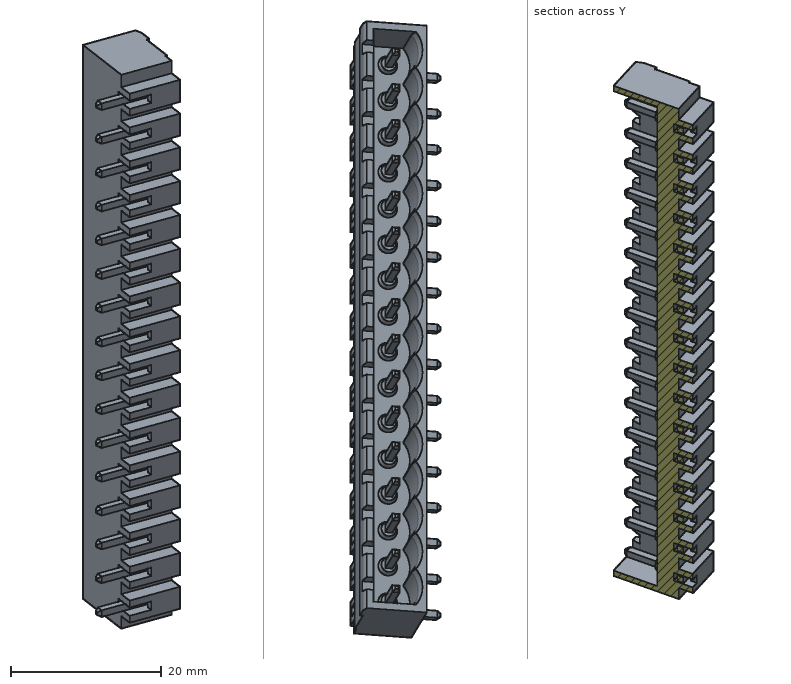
import cadquery as cq


height = 83.3

pin_count = 16
pitch = 5.1
pin_size = 1.0
first_pin_z = (height - (pin_count - 1) * pitch) / 2
pin_z = [first_pin_z + i * pitch for i in range(pin_count)]

body_depth = 10.0
total_depth = 12.2
total_width = 12.5
crest_y = 8.5
front_edge_y = 8.2
roof_y = 8.1
rear_y = 7.8
crest_start_x = 1.1
crest_end_x = 3.0
rear_step_x = 8.3

cavity_depth = 6.7
cavity_bottom = first_pin_z - pitch / 2
cavity_top = cavity_bottom + pin_count * pitch
pin_y = 3.9
cavity_wall_y = 6.9
scallop_y = 0.9
scallop_height = 0.9
mouth_depth = 1.3
mouth_wall_flare = 0.4
mouth_scallop_flare = 0.3

slot_mouth_width = 1.75
slot_floor_width = 1.4

collar_diameter = 2.6
collar_top_diameter = 2.0
collar_height = 0.7

foot_width = 3.3
foot_slot_width = 1.25
foot_slot_start_x = 9.25
foot_slot_end_x = 11.25
foot_notch_depth = 3.3

pin_front_x = 0.8
tail_x = (foot_slot_start_x + foot_slot_end_x) / 2
pin_tail_length = total_width - crest_y
point_length = 0.5
point_size = 0.4


def box(x0, x1, y0, y1, z0, z1):
    return cq.Workplane("XY").box(x1 - x0, y1 - y0, z1 - z0, centered=False).translate((x0, y0, z0))


def side_plane(x):
    """Plane across the part at depth x: local axes are Y and Z, normal is +X."""
    return cq.Workplane("YZ", origin=(x, 0, 0))


def housing():
    """Solid block with a stepped roof and a raised crest near the front."""
    outline = [
        (0, 0),
        (total_depth, 0),
        (total_depth, rear_y),
        (rear_step_x, rear_y),
        (rear_step_x, roof_y),
        (crest_end_x, roof_y),
        (crest_end_x, crest_y),
        (crest_start_x, crest_y),
        (0, front_edge_y),
    ]
    return cq.Workplane("XY").polyline(outline).close().extrude(height)


def rear_gaps():
    """Material between the rear feet."""
    gaps = box(body_depth, total_depth, 0, crest_y, 0, height)
    for z in pin_z:
        foot = box(body_depth, total_depth, 0, crest_y, z - foot_width / 2, z + foot_width / 2)
        gaps = gaps.cut(foot)
    return gaps


def cavity_outline(workplane, wall_y, trough_y):
    """Closed cavity section: straight upper wall, one shallow arc below each pin."""
    half = pitch / 2
    cusp_y = trough_y + scallop_height
    outline = workplane.moveTo(wall_y, cavity_bottom).lineTo(cusp_y, cavity_bottom)
    for z in pin_z:
        outline = outline.threePointArc((trough_y, z), (cusp_y, z + half))
    return outline.lineTo(wall_y, cavity_top).close()


def cavity():
    """Straight pocket with a mouth that flares outwards at the wall and at the scallops."""
    pocket = cavity_outline(side_plane(mouth_depth), cavity_wall_y, scallop_y)
    pocket = pocket.extrude(cavity_depth - mouth_depth)
    mouth = cavity_outline(side_plane(0), cavity_wall_y + mouth_wall_flare, scallop_y - mouth_scallop_flare)
    mouth = cavity_outline(mouth.workplane(offset=mouth_depth), cavity_wall_y, scallop_y)
    return pocket.union(mouth.loft(ruled=True))


def coding_slot(z):
    """Tapered slot through the rim, narrowing towards its floor."""
    half_mouth = slot_mouth_width / 2
    half_floor = slot_floor_width / 2
    outline = [
        (0, z - half_mouth),
        (mouth_depth, z - half_floor),
        (mouth_depth, z + half_floor),
        (0, z + half_mouth),
    ]
    slot = cq.Workplane("XZ", origin=(0, crest_y, 0)).polyline(outline).close()
    return slot.extrude(crest_y - cavity_wall_y)


def foot_slot(z):
    """Slot through the full thickness, with a shallower notch running out of the rear face."""
    z0 = z - foot_slot_width / 2
    z1 = z + foot_slot_width / 2
    slot = box(foot_slot_start_x, foot_slot_end_x, 0, crest_y, z0, z1)
    return slot.union(box(foot_slot_end_x, total_depth, 0, foot_notch_depth, z0, z1))


def collar(z):
    """Conical collar rising from the cavity floor."""
    return (
        side_plane(cavity_depth).center(pin_y, z).circle(collar_diameter / 2)
        .workplane(offset=-collar_height).circle(collar_top_diameter / 2).loft()
    )


def square_point(workplane):
    """Tapered tip growing along the normal of the workplane."""
    return (
        workplane.rect(pin_size, pin_size)
        .workplane(offset=point_length).rect(point_size, point_size).loft()
    )


def bent_pin(z):
    """Contact along X joined to a tail that leaves downwards along -Y."""
    half = pin_size / 2
    shank_x = pin_front_x + point_length
    shoulder_y = point_length - pin_tail_length
    contact = box(shank_x, tail_x + half, pin_y - half, pin_y + half, z - half, z + half)
    tail = box(tail_x - half, tail_x + half, shoulder_y, pin_y + half, z - half, z + half)
    contact_plane = side_plane(shank_x).center(pin_y, z).transformed(rotate=(0, 180, 0))
    tail_plane = cq.Workplane("XZ", origin=(tail_x, shoulder_y, z))
    contact_point = square_point(contact_plane)
    tail_point = square_point(tail_plane)
    return contact.union(tail).union(contact_point).union(tail_point)


result = housing().cut(rear_gaps()).cut(cavity())
for z in pin_z:
    result = result.cut(coding_slot(z)).cut(foot_slot(z)).union(collar(z)).union(bent_pin(z))